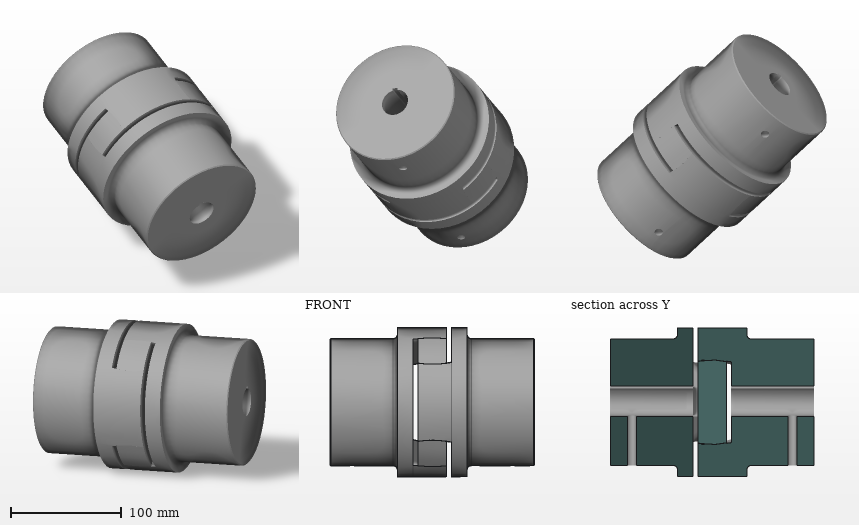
import cadquery as cq
import math

total_length = 185.0
flange_radius = 67.5
hub_radius = 57.5
end_chamfer = 1.0
root_fillet = 3.7
flange_back = 31.6
flange_face = 17.4
spider_half = 13.0

bore_radius = 12.5
keyway_width = 4.6
keyway_top = 14.5

set_screw_diameter = 7.5
set_screw_offset = 72.5

leg_half_width = 16.8
core_radius = 38.5
crown_radius = 70.3

half_length = total_length / 2
claw_start_angles = (45, 225)
claw_sweep = 90


def crown_drop(x):
    """How far a crowned surface falls at distance x from the middle plane."""
    return crown_radius - math.sqrt(crown_radius**2 - x**2)


def crowned_profile(half_width):
    """Outline end points of a crowned side, from one flange face to the other."""
    edge = half_width - crown_drop(flange_face)
    return (-flange_face, edge), (0, half_width), (flange_face, edge)


def make_core():
    start, middle, end = crowned_profile(core_radius)
    outline = cq.Workplane("XY").moveTo(-flange_face, 0).lineTo(*start)
    outline = outline.threePointArc(middle, end).lineTo(flange_face, 0).close()
    return outline.revolve(360, (0, 0, 0), (1, 0, 0))


def make_leg_pair():
    """A crowned bar across the whole diameter, which makes two opposite legs."""
    start, middle, end = crowned_profile(leg_half_width)
    outline = cq.Workplane("XY").moveTo(*start).threePointArc(middle, end)
    outline = outline.lineTo(end[0], -end[1])
    outline = outline.threePointArc((0, -leg_half_width), (start[0], -start[1])).close()
    return outline.extrude(flange_radius + 1.8, both=True)


def make_spider_space():
    """Crowned cross that fills the space between the two flange faces."""
    space = make_core()
    for angle in (45, -45):
        space = space.union(make_leg_pair().rotate((0, 0, 0), (1, 0, 0), angle))
    return space


def make_spider(space):
    blank = cq.Workplane("YZ", origin=(-spider_half, 0, 0)).circle(flange_radius).extrude(2 * spider_half)
    return blank.intersect(space)


def make_hub_barrel():
    """Solid of revolution with the chamfered end, the root fillet and the flange."""
    fillet_center = (-flange_back - root_fillet, hub_radius + root_fillet)
    fillet_middle = (
        fillet_center[0] + root_fillet * math.cos(math.pi / 4),
        fillet_center[1] - root_fillet * math.sin(math.pi / 4),
    )
    return (
        cq.Workplane("XY")
        .moveTo(-half_length, 0)
        .lineTo(-half_length, hub_radius - end_chamfer)
        .lineTo(-half_length + end_chamfer, hub_radius)
        .lineTo(fillet_center[0], hub_radius)
        .threePointArc(fillet_middle, (-flange_back, fillet_center[1]))
        .lineTo(-flange_back, flange_radius)
        .lineTo(-flange_face, flange_radius)
        .lineTo(-flange_face, 0)
        .close()
        .revolve(360, (0, 0, 0), (1, 0, 0))
    )


def make_claw(start_angle, space):
    """A quarter cylinder from flange face to claw tip, cut to the spider."""

    def rim_point(angle):
        turn = math.radians(angle)
        return flange_radius * math.cos(turn), flange_radius * math.sin(turn)

    sector = (
        cq.Workplane("YZ", origin=(-flange_face, 0, 0))
        .lineTo(*rim_point(start_angle))
        .threePointArc(rim_point(start_angle + claw_sweep / 2), rim_point(start_angle + claw_sweep))
        .close()
        .extrude(flange_face + spider_half)
    )
    return sector.cut(space)


def make_keyed_bore():
    bore_length = half_length - flange_face
    end_plane = cq.Workplane("YZ", origin=(-half_length, 0, 0))
    bore = end_plane.circle(bore_radius).extrude(bore_length)
    keyway = end_plane.center(0, keyway_top / 2).rect(keyway_width, keyway_top).extrude(bore_length)
    return bore.union(keyway)


def make_set_screw_hole():
    """Radial hole from the underside of the hub into the bore, opposite the keyway."""
    underside = cq.Workplane("XY", origin=(-set_screw_offset, 0, -flange_radius))
    return underside.circle(set_screw_diameter / 2).extrude(flange_radius)


def make_hub(claw_turn, space):
    """The hub at the -X end; its claws are turned about X by the given angle from +Z and -Z."""
    hub = make_hub_barrel()
    for start_angle in claw_start_angles:
        hub = hub.union(make_claw(start_angle, space))
    hub = hub.rotate((0, 0, 0), (1, 0, 0), claw_turn)
    return hub.cut(make_keyed_bore()).cut(make_set_screw_hole())


spider_space = make_spider_space()
spider = make_spider(spider_space)

hubs = []
for facing_angle, claw_turn in ((0, 0), (180, 90)):
    hub = make_hub(claw_turn, spider_space)
    hubs.append(hub.rotate((0, 0, 0), (0, 0, 1), facing_angle))

result = cq.Compound.makeCompound([spider.val(), *[hub.val() for hub in hubs]])